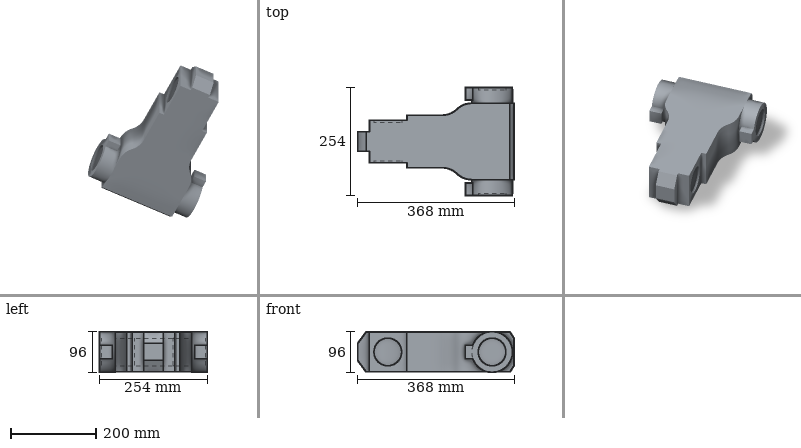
import cadquery as cq
import math

body_length = 368.0
body_height = 94.0
nose_end_x = -71.0
rear_end_x = nose_end_x + body_length

nose_width = 46.0
tongue_width = 100.0
neck_width = 124.0
head_width = 180.0

tongue_start_x = nose_end_x + 28.0
neck_start_x = nose_end_x + 116.0
flare_start_x = nose_end_x + 198.7

flare_radius = 50.0
flare_half_rise = (head_width - neck_width) / 4
flare_half_run = math.sqrt(flare_radius**2 - (flare_radius - flare_half_rise) ** 2)

nose_chamfer_run = 20.0
nose_chamfer_rise = 27.0
rear_chamfer_run = 10.0
rear_chamfer_rise = 15.0

trunnion_x = 245.0
trunnion_diameter = 96.0
trunnion_span = 254.0
key_reach = 63.0
key_height = 32.0
key_length = 30.0

tongue_recess_x = 0.0
recess_diameter = 65.0
recess_depth = 5.0


def make_plan_body():
    """Stepped and flared outline extruded to the body height."""
    nose = nose_width / 2
    tongue = tongue_width / 2
    neck = neck_width / 2
    head = head_width / 2

    flare_mid_x = flare_start_x + flare_half_run
    head_start_x = flare_mid_x + flare_half_run
    flare_mid_y = neck + flare_half_rise

    half_outline = (
        cq.Workplane("XY")
        .workplane(offset=-body_height / 2)
        .moveTo(nose_end_x, 0)
        .lineTo(nose_end_x, nose)
        .lineTo(tongue_start_x, nose)
        .lineTo(tongue_start_x, tongue)
        .lineTo(neck_start_x, tongue)
        .lineTo(neck_start_x, neck)
        .lineTo(flare_start_x, neck)
        .radiusArc((flare_mid_x, flare_mid_y), -flare_radius)
        .radiusArc((head_start_x, head), flare_radius)
        .lineTo(rear_end_x, head)
        .lineTo(rear_end_x, 0)
    )
    return half_outline.mirrorX().extrude(body_height)


def make_side_profile():
    """Side silhouette with chamfered ends, as wide as the head."""
    half = body_height / 2
    profile = [
        (nose_end_x, half - nose_chamfer_rise),
        (nose_end_x + nose_chamfer_run, half),
        (rear_end_x - rear_chamfer_run, half),
        (rear_end_x, half - rear_chamfer_rise),
        (rear_end_x, -half + rear_chamfer_rise),
        (rear_end_x - rear_chamfer_run, -half),
        (nose_end_x + nose_chamfer_run, -half),
        (nose_end_x, -half + nose_chamfer_rise),
    ]
    return cq.Workplane("XZ").polyline(profile).close().extrude(head_width / 2, both=True)


def make_trunnion(side):
    """Trunnion on one side (+1 or -1 along Y) with a key pointing to the nose."""
    outer_y = side * trunnion_span / 2
    head_y = side * head_width / 2
    stub = cq.Solid.makeCylinder(
        trunnion_diameter / 2,
        (trunnion_span - head_width) / 2,
        cq.Vector(trunnion_x, head_y, 0),
        cq.Vector(0, side, 0),
    )
    key = (
        cq.Workplane("XY")
        .box(key_reach, key_length, key_height)
        .translate((trunnion_x - key_reach / 2, outer_y - side * key_length / 2, 0))
    )
    return key.union(cq.Workplane(obj=stub))


def make_recess(x, side, face_y):
    """Round cutter sunk inward from the face at distance face_y from the mid plane."""
    cutter = cq.Solid.makeCylinder(
        recess_diameter / 2,
        recess_depth,
        cq.Vector(x, side * face_y, 0),
        cq.Vector(0, -side, 0),
    )
    return cq.Workplane(obj=cutter)


result = make_plan_body().intersect(make_side_profile())
for side in (1, -1):
    result = result.union(make_trunnion(side))
    result = result.cut(make_recess(tongue_recess_x, side, tongue_width / 2))
    result = result.cut(make_recess(trunnion_x, side, trunnion_span / 2))